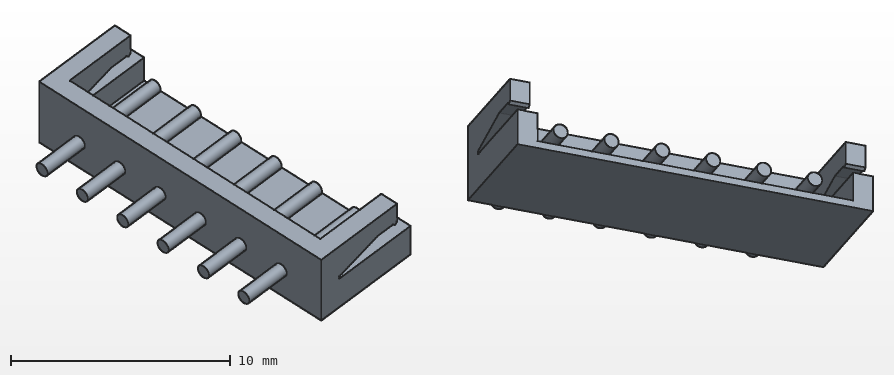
import cadquery as cq

LENGTH = 17.5
DEPTH = 6.0
HEIGHT = 3.8
FRONT_WALL = 1.0
END_WALL = 0.98
FLOOR = 0.35

SLOT_FRONT = 1.2
SLOT_BOTTOM = 1.78
SLOT_FRONT_HEIGHT = 0.14
SLOPE_BACK = 3.8
ARM_UNDERSIDE = 2.68
ARM_BACK = 5.1

RIDGE_WIDTH = 0.26
RIDGE_DROP = 0.12
RIDGE_PEAK_SETBACK = 0.15

PIN_COUNT = 6
PIN_PITCH = 2.5
PIN_DIAMETER = 0.7
PIN_HEIGHT = 1.6
PIN_FRONT_LENGTH = 2.5
PIN_BACK = ARM_BACK


def make_housing():
    """Block hollowed from above, with the back left open."""
    block = cq.Workplane("XY").box(LENGTH, DEPTH, HEIGHT, centered=(True, False, False))
    cavity = (
        cq.Workplane("XY")
        .box(LENGTH - 2 * END_WALL, DEPTH - FRONT_WALL, HEIGHT - FLOOR, centered=(True, False, False))
        .translate((0, FRONT_WALL, FLOOR))
    )
    return block.cut(cavity)


def make_end_slot():
    """Tapered slot that also trims the upper arms short of the back face."""
    return (
        cq.Workplane("YZ")
        .moveTo(DEPTH, SLOT_BOTTOM)
        .lineTo(SLOT_FRONT, SLOT_BOTTOM)
        .lineTo(SLOT_FRONT, SLOT_BOTTOM + SLOT_FRONT_HEIGHT)
        .lineTo(SLOPE_BACK, ARM_UNDERSIDE)
        .lineTo(ARM_BACK - RIDGE_WIDTH, ARM_UNDERSIDE)
        .lineTo(ARM_BACK - RIDGE_PEAK_SETBACK, ARM_UNDERSIDE - RIDGE_DROP)
        .lineTo(ARM_BACK, ARM_UNDERSIDE)
        .lineTo(ARM_BACK, HEIGHT)
        .lineTo(DEPTH, HEIGHT)
        .close()
        .extrude(LENGTH / 2, both=True)
    )


def make_pins():
    """Row of round pins running through the front wall."""
    first_x = -PIN_PITCH * (PIN_COUNT - 1) / 2
    centres = [(first_x + i * PIN_PITCH, PIN_HEIGHT) for i in range(PIN_COUNT)]
    return (
        cq.Workplane("XZ", origin=(0, PIN_BACK, 0))
        .pushPoints(centres)
        .circle(PIN_DIAMETER / 2)
        .extrude(PIN_BACK + PIN_FRONT_LENGTH)
    )


result = make_housing().cut(make_end_slot()).union(make_pins())